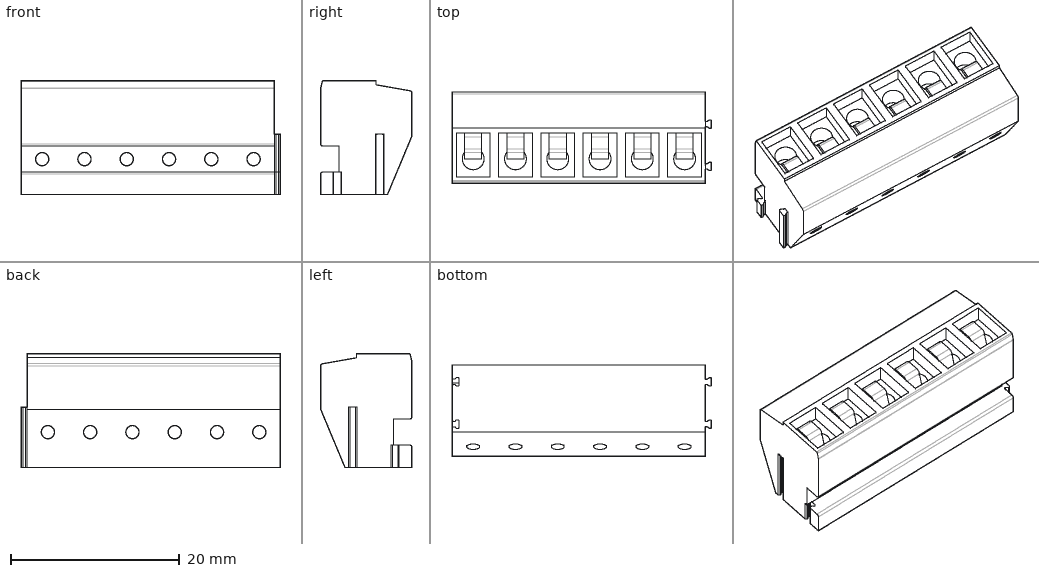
import cadquery as cq
import math

pole_count = 6
pitch = 5.0
total_length = 30.7
tongue_reach = 0.7
body_length = total_length - tongue_reach
body_depth = 10.8
body_height = 13.5
edge_radius = 0.28
top_edge_radius = 0.15

rail_height = 2.7
channel_depth = 2.15
channel_top = 5.75
front_bevel_start = 12.6
front_bevel_inset = 0.2
step_y = 6.57
step_z = 13.02
back_slope_angle = 10.0
back_bevel_start = 6.9
bottom_back_y = 7.92
back_top_z = step_z - (body_depth - step_y) * math.tan(math.radians(back_slope_angle))

wire_hole_diameter = 1.55
wire_hole_z = 4.2

window_width = 4.0
window_front_y = 0.75
window_back_y = 5.93
window_depth = 2.0
window_floor = body_height - window_depth
screw_hole_diameter = 2.58
screw_hole_y = 2.9
screw_hole_depth = 2.75

clip_width = 2.03
clip_rise = 0.55
clip_radius = 0.45
clip_front_y = 3.62
clip_toe_y = 2.85

lock_neck_width = 0.65
lock_head_width = 1.0
tongue_neck_length = 0.18
lock_corner_cut = 0.05
tongue_flare_end = 0.45
groove_mouth_chamfer = 0.15
groove_depth = 0.8
groove_neck_end = 0.35
groove_flare_end = 0.52
front_lock_y = 2.0
back_lock_y = front_lock_y + pitch
back_lock_height = 7.15
locks = [(front_lock_y, rail_height), (back_lock_y, back_lock_height)]

pole_x = [pitch * (index + 0.5) for index in range(pole_count)]


def make_body():
    """Solid prism with the side profile and its rounded long edges."""
    outline = [
        (0, 0),
        (0, rail_height),
        (channel_depth, rail_height),
        (channel_depth, channel_top),
        (0, channel_top),
        (0, front_bevel_start),
        (front_bevel_inset, body_height),
        (step_y, body_height),
        (step_y, step_z),
        (body_depth, back_top_z),
        (body_depth, back_bevel_start),
        (bottom_back_y, 0),
    ]
    rounded_corners = [
        (outline[1], edge_radius),
        (outline[4], edge_radius),
        (outline[5], edge_radius),
        (outline[6], top_edge_radius),
        (outline[9], edge_radius),
    ]
    body = cq.Workplane("YZ").polyline(outline).close().extrude(body_length)
    for (y, z), radius in rounded_corners:
        edge = cq.selectors.NearestToPointSelector((body_length / 2, y, z))
        body = body.edges("|X").edges(edge).fillet(radius)
    return body


def make_window(x):
    """Window opening and the screw hole below it."""
    opening = (
        cq.Workplane("XY", origin=(x, (window_front_y + window_back_y) / 2, window_floor))
        .rect(window_width, window_back_y - window_front_y)
        .extrude(window_depth)
    )
    screw_hole = (
        cq.Workplane("XY", origin=(x, screw_hole_y, window_floor))
        .circle(screw_hole_diameter / 2)
        .extrude(-screw_hole_depth)
    )
    return opening.union(screw_hole)


def make_wire_hole(x):
    """Round hole running through the whole body from front to back."""
    return cq.Workplane("XZ", origin=(x, 0, wire_hole_z)).circle(wire_hole_diameter / 2).extrude(-body_depth)


def make_clip(x):
    """Round-topped clip on the window back wall, sloping down to the screw hole floor."""
    top = window_floor + clip_rise
    diagonal = clip_radius * math.sqrt(0.5)
    front_flat_y = clip_front_y + clip_radius
    back_flat_y = window_back_y - clip_radius
    arc_z = top - clip_radius
    toe_z = window_floor - screw_hole_depth
    return (
        cq.Workplane("YZ", origin=(x - clip_width / 2, 0, 0))
        .moveTo(clip_toe_y, toe_z)
        .lineTo(clip_front_y, arc_z)
        .threePointArc((front_flat_y - diagonal, arc_z + diagonal), (front_flat_y, top))
        .lineTo(back_flat_y, top)
        .threePointArc((back_flat_y + diagonal, arc_z + diagonal), (window_back_y, arc_z))
        .lineTo(window_back_y, toe_z)
        .close()
        .extrude(clip_width)
    )


def mirrored_prism(half_outline, x, y, height):
    """Upright prism from an (X, half width) outline mirrored about the plane at y."""
    points = half_outline + [(dx, -half) for dx, half in reversed(half_outline)]
    return cq.Workplane("XY", origin=(x, y, 0)).polyline(points).close().extrude(height)


neck_half = lock_neck_width / 2
head_half = lock_head_width / 2
tongue_outline = [
    (0, neck_half),
    (tongue_neck_length, neck_half),
    (tongue_flare_end, head_half),
    (tongue_reach - lock_corner_cut, head_half),
    (tongue_reach, head_half - lock_corner_cut),
]
groove_outline = [
    (0, neck_half + groove_mouth_chamfer),
    (groove_mouth_chamfer, neck_half),
    (groove_neck_end, neck_half),
    (groove_flare_end, head_half),
    (groove_depth - lock_corner_cut, head_half),
    (groove_depth, head_half - lock_corner_cut),
]

result = make_body()
for x in pole_x:
    result = result.cut(make_window(x)).union(make_clip(x)).cut(make_wire_hole(x))
for y, height in locks:
    result = result.union(mirrored_prism(tongue_outline, body_length, y, height))
    result = result.cut(mirrored_prism(groove_outline, 0, y, height))